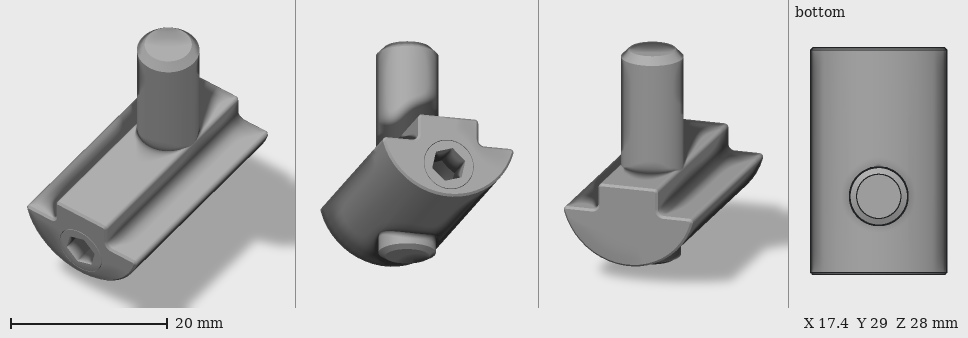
import cadquery as cq
import math


nut_length = 29.0
nut_height = 10.73
neck_width = 8.0
neck_height = 3.5
belly_radius = 9.0
neck_edge_radius = 0.5
neck_root_radius = 0.8
wing_tip_radius = 0.5
end_chamfer = 0.3

stud_y = 4.5
stud_top_z = 15.43
stud_length = 28.0
stud_diameter = 8.0
stud_top_chamfer = 1.0
shoulder_depth = 0.3
lower_diameter = 7.35
lower_hole_diameter = 7.5
tip_diameter = 5.65
tip_angle = 30.0

screw_diameter = 6.5
screw_hole_diameter = 6.65
screw_axis_z = -6.5
hex_across_flats = 4.0
hex_depth = 5.0
hex_rotation = 17.3
drill_point_angle = 120.0

stud_bottom_z = stud_top_z - stud_length
nut_front_y = -nut_length / 2
screw_length = stud_y - lower_diameter / 2 - nut_front_y


def vertical_cylinder(diameter, bottom_z, top_z):
    """Cylinder on the stud axis between two heights."""
    return (
        cq.Workplane("XY", origin=(0, stud_y, bottom_z))
        .circle(diameter / 2)
        .extrude(top_z - bottom_z)
    )


def front_workplane():
    """Plane on the front end of the nut, centred on the screw axis, with its normal along -Y."""
    return cq.Workplane("XZ", origin=(0, nut_front_y, screw_axis_z))


def make_nut_bar():
    """T-shaped bar with a round belly, rounded long edges and chamfered ends."""
    half_neck = neck_width / 2
    belly_center_z = belly_radius - nut_height
    half_wing = math.sqrt(belly_radius**2 - (neck_height + belly_center_z) ** 2)
    bar = (
        cq.Workplane("XZ", origin=(0, nut_length / 2, 0))
        .moveTo(-half_neck, 0)
        .lineTo(half_neck, 0)
        .lineTo(half_neck, -neck_height)
        .lineTo(half_wing, -neck_height)
        .threePointArc((0, -nut_height), (-half_wing, -neck_height))
        .lineTo(-half_neck, -neck_height)
        .close()
        .extrude(nut_length)
    )

    def long_edges(x, z):
        """The pair of long edges at +x and -x."""
        nearest = cq.selectors.NearestToPointSelector
        return nearest((x, 0, z)) + nearest((-x, 0, z))

    bar = bar.edges(long_edges(half_neck, 0)).fillet(neck_edge_radius)
    bar = bar.edges(long_edges(half_neck, -neck_height)).fillet(neck_root_radius)
    bar = bar.edges(long_edges(half_wing, -neck_height)).fillet(wing_tip_radius)
    return bar.faces("<Y or >Y").chamfer(end_chamfer)


def make_nut():
    """Bar with a stepped through hole for the stud and a blind hole for the set screw."""
    stud_recess = vertical_cylinder(stud_diameter, -shoulder_depth, stud_top_z)
    stud_hole = vertical_cylinder(lower_hole_diameter, stud_bottom_z, 0)
    screw_hole = front_workplane().circle(screw_hole_diameter / 2).extrude(nut_front_y - stud_y)
    return make_nut_bar().cut(stud_recess).cut(stud_hole).cut(screw_hole)


def make_stud():
    """Revolved stud with a chamfered top, a shoulder and a tapered tip."""
    tip_height = (lower_diameter - tip_diameter) / 2 * math.tan(math.radians(tip_angle))
    return (
        cq.Workplane("XZ", origin=(0, stud_y, 0))
        .moveTo(0, stud_bottom_z)
        .lineTo(tip_diameter / 2, stud_bottom_z)
        .lineTo(lower_diameter / 2, stud_bottom_z + tip_height)
        .lineTo(lower_diameter / 2, -shoulder_depth)
        .lineTo(stud_diameter / 2, -shoulder_depth)
        .lineTo(stud_diameter / 2, stud_top_z - stud_top_chamfer)
        .lineTo(stud_diameter / 2 - stud_top_chamfer, stud_top_z)
        .lineTo(0, stud_top_z)
        .close()
        .revolve(360, (0, 0, 0), (0, 1, 0))
    )


def make_set_screw():
    """Set screw flush with the nut's front end, with a hexagon socket ending in a drill point."""
    across_corners = hex_across_flats / math.cos(math.radians(30))
    point_depth = across_corners / 2 / math.tan(math.radians(drill_point_angle / 2))
    socket_depth = hex_depth + point_depth
    body = front_workplane().circle(screw_diameter / 2).extrude(-screw_length)
    hexagon = (
        front_workplane()
        .transformed(rotate=(0, 0, hex_rotation))
        .polygon(6, across_corners)
        .extrude(-socket_depth)
    )
    drilled_hole = (
        cq.Workplane("XY", origin=(0, nut_front_y, screw_axis_z))
        .lineTo(across_corners / 2, 0)
        .lineTo(across_corners / 2, hex_depth)
        .lineTo(0, socket_depth)
        .close()
        .revolve(360, (0, 0, 0), (0, 1, 0))
    )
    return body.cut(hexagon.intersect(drilled_hole))


nut = make_nut()
stud = make_stud()
set_screw = make_set_screw()

result = cq.Compound.makeCompound([nut.solids().val(), stud.solids().val(), set_screw.solids().val()])